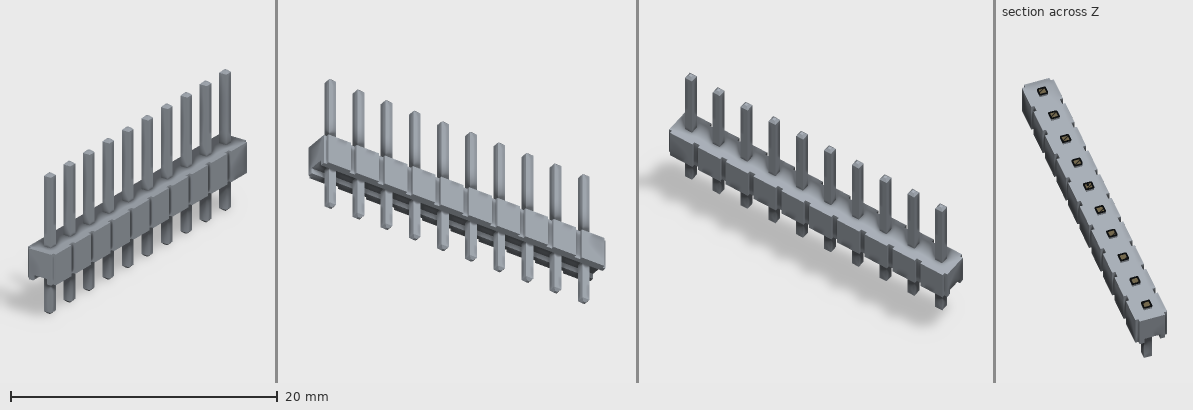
import cadquery as cq

PITCH = 2.54
PIN_COUNT = 10
BODY_WIDTH = 2.54
BODY_HEIGHT = 2.54
NOTCH = PITCH / 10
CHANNEL_WIDTH = PITCH / 2
CHANNEL_DEPTH = 0.45
PIN_SIDE = 0.64
PIN_ABOVE = 6.0
PIN_BELOW = 3.0
TIP_HEIGHT = 0.2

BODY_LENGTH = PIN_COUNT * PITCH
TIP_SIDE = PIN_SIDE - 2 * TIP_HEIGHT
FIRST_PIN_Y = -(PIN_COUNT - 1) * PITCH / 2
SHANK_BOTTOM = -PIN_BELOW + TIP_HEIGHT
SHANK_TOP = BODY_HEIGHT + PIN_ABOVE - TIP_HEIGHT


def bar(width, length, height, bottom=0.0):
    """Rectangular bar centred in X and Y, standing on the given Z level."""
    return cq.Workplane("XY").workplane(offset=bottom).rect(width, length).extrude(height)


def make_body():
    """Narrow core with one wider block per pin, leaving notches between and at the ends."""
    body = bar(BODY_WIDTH - 2 * NOTCH, BODY_LENGTH, BODY_HEIGHT)
    blocks = (
        cq.Workplane("XY")
        .rarray(PITCH, PITCH, 1, PIN_COUNT)
        .rect(BODY_WIDTH, PITCH - 2 * NOTCH)
        .extrude(BODY_HEIGHT)
    )
    channel = bar(CHANNEL_WIDTH, BODY_LENGTH, CHANNEL_DEPTH)
    return body.union(blocks).cut(channel)


def make_tip(base_z, end_z):
    """Truncated pyramid from the full pin section at base_z to the blunt end at end_z."""
    return (
        cq.Workplane("XY")
        .workplane(offset=base_z)
        .rect(PIN_SIDE, PIN_SIDE)
        .workplane(offset=end_z - base_z)
        .rect(TIP_SIDE, TIP_SIDE)
        .loft(ruled=True)
    )


def make_pin():
    """Square pin running through the body, tapered at both ends."""
    shank = bar(PIN_SIDE, PIN_SIDE, SHANK_TOP - SHANK_BOTTOM, SHANK_BOTTOM)
    top_tip = make_tip(SHANK_TOP, SHANK_TOP + TIP_HEIGHT)
    bottom_tip = make_tip(SHANK_BOTTOM, SHANK_BOTTOM - TIP_HEIGHT)
    return shank.union(top_tip).union(bottom_tip)


result = make_body()
pin = make_pin()
for index in range(PIN_COUNT):
    result = result.union(pin.translate((0, FIRST_PIN_Y + index * PITCH, 0)))